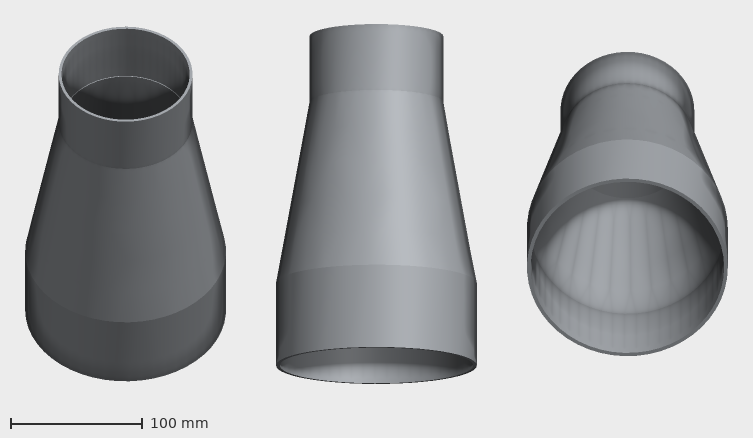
import cadquery as cq

total_height = 254.0
wide_diameter = 152.5
wide_bore = 146.8
wide_length = 63.5
narrow_diameter = 101.5
narrow_bore = 97.3
narrow_length = 50.8

cone_wall = (wide_diameter - wide_bore) / 2
cone_top_bore = narrow_diameter - 2 * cone_wall
cone_top = total_height - narrow_length


def revolved_solid(bottom_diameter, cone_top_diameter, top_diameter):
    """Solid of revolution: wide cylinder, cone, narrow cylinder."""
    bottom_radius = bottom_diameter / 2
    cone_top_radius = cone_top_diameter / 2
    top_radius = top_diameter / 2

    profile = cq.Workplane("XZ").lineTo(bottom_radius, 0)
    profile = profile.lineTo(bottom_radius, wide_length)
    profile = profile.lineTo(cone_top_radius, cone_top)
    if top_radius != cone_top_radius:
        profile = profile.lineTo(top_radius, cone_top)
    profile = profile.lineTo(top_radius, total_height)
    profile = profile.lineTo(0, total_height).close()
    return profile.revolve(360, (0, 0, 0), (0, 1, 0))


outer_body = revolved_solid(wide_diameter, narrow_diameter, narrow_diameter)
inner_passage = revolved_solid(wide_bore, cone_top_bore, narrow_bore)

result = outer_body.cut(inner_passage)